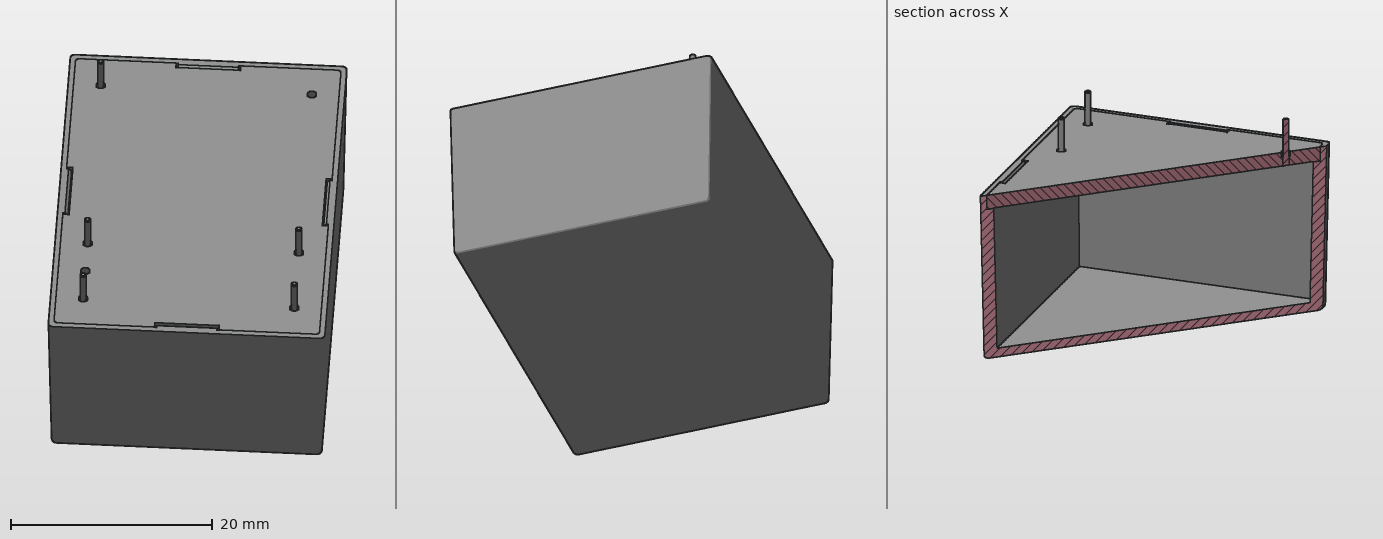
import cadquery as cq

LENGTH = 37.0
WIDTH = 27.5
HEIGHT = 17.5
TURN = -41.885
DRAFT = 1.0
CORNER_RADIUS = 0.5
BOTTOM_EDGE_RADIUS = 0.45
WALL = 0.55
FLOOR = 1.0
LID_LEDGE = 0.55

LID_THICKNESS = 1.5
LID_LENGTH = LENGTH - 2 * WALL
LID_WIDTH = WIDTH - 2 * WALL
LID_BOTTOM = HEIGHT - LID_THICKNESS
LID_CORNER_RADIUS = 0.4

LUG_LENGTH = 6.0
LUG_REACH = 0.5
LUG_TOP_REACH = 0.2
LUG_SLOPE_HEIGHT = 0.3
LUG_END_GAP = 0.2
NOTCH_LENGTH = LUG_LENGTH + 2 * LUG_END_GAP
NOTCH_DEPTH = 0.6

PIN_DIAMETER = 0.6
PIN_PROJECTION = 3.5
PIN_TIP_CHAMFER = 0.1
PIN_RECESS_DIAMETER = 0.9
PIN_RECESS_DEPTH = 0.5
VENT_DIAMETER = 0.9

ROW_Y = 10.5
END_X = 14.5
INNER_X = 7.0
PIN_POINTS = [
    (-END_X, -ROW_Y),
    (INNER_X, -ROW_Y),
    (END_X, -ROW_Y),
    (INNER_X, ROW_Y),
    (END_X, ROW_Y),
]
VENT_POINTS = [
    (-END_X, ROW_Y),
    ((INNER_X + END_X) / 2, -ROW_Y),
]

SIDES = [
    (0, LID_LENGTH / 2),
    (90, LID_WIDTH / 2),
    (180, LID_LENGTH / 2),
    (270, LID_WIDTH / 2),
]


def turned(body):
    return body.rotate((0, 0, 0), (0, 0, 1), TURN)


def lid_blank():
    """Lid without its notches and holes, which is also the shape of its seat in the case."""
    return (
        cq.Workplane("XY", origin=(0, 0, LID_BOTTOM))
        .rect(LID_LENGTH, LID_WIDTH)
        .extrude(LID_THICKNESS)
        .edges("|Z")
        .fillet(LID_CORNER_RADIUS)
    )


def lug(direction, edge_distance):
    """Rib on the inside of the wall with a sloping lead-in at its top."""
    section = [
        (edge_distance, LID_BOTTOM),
        (edge_distance, HEIGHT),
        (edge_distance - LUG_TOP_REACH, HEIGHT),
        (edge_distance - LUG_REACH, HEIGHT - LUG_SLOPE_HEIGHT),
        (edge_distance - LUG_REACH, LID_BOTTOM),
    ]
    wedge = cq.Workplane("XZ").polyline(section).close().extrude(LUG_LENGTH / 2, both=True)
    return wedge.rotate((0, 0, 0), (0, 0, 1), direction)


def notch(direction, edge_distance):
    """Block that cuts the lid edge clear of a lug."""
    block = (
        cq.Workplane("XY", origin=(edge_distance, 0, LID_BOTTOM))
        .rect(2 * NOTCH_DEPTH, NOTCH_LENGTH)
        .extrude(LID_THICKNESS)
    )
    return block.rotate((0, 0, 0), (0, 0, 1), direction)


def make_case():
    outside = (
        cq.Workplane("XY", origin=(0, 0, HEIGHT))
        .rect(LENGTH, WIDTH)
        .extrude(-HEIGHT, taper=DRAFT)
        .edges("not(|X or |Y)")
        .fillet(CORNER_RADIUS)
        .faces("<Z")
        .edges()
        .fillet(BOTTOM_EDGE_RADIUS)
    )
    cavity = (
        cq.Workplane("XY", origin=(0, 0, LID_BOTTOM))
        .rect(LID_LENGTH - 2 * LID_LEDGE, LID_WIDTH - 2 * LID_LEDGE)
        .extrude(FLOOR - LID_BOTTOM, taper=DRAFT)
    )
    case = outside.cut(lid_blank()).cut(cavity)
    for direction, edge_distance in SIDES:
        case = case.union(lug(direction, edge_distance))
    return turned(case)


def make_lid():
    lid = lid_blank()
    for direction, edge_distance in SIDES:
        lid = lid.cut(notch(direction, edge_distance))
    lid = (
        lid.faces(">Z")
        .workplane(origin=(0, 0, HEIGHT))
        .pushPoints(PIN_POINTS)
        .cboreHole(PIN_DIAMETER, PIN_RECESS_DIAMETER, PIN_RECESS_DEPTH)
        .faces(">Z")
        .workplane(origin=(0, 0, HEIGHT))
        .pushPoints(VENT_POINTS)
        .hole(VENT_DIAMETER)
    )
    return turned(lid)


def make_pin(x, y):
    pin = (
        cq.Workplane("XY", origin=(x, y, LID_BOTTOM))
        .circle(PIN_DIAMETER / 2)
        .extrude(LID_THICKNESS + PIN_PROJECTION)
        .faces(">Z")
        .chamfer(PIN_TIP_CHAMFER)
    )
    return turned(pin)


case = make_case()
lid = make_lid()
pins = [make_pin(x, y) for x, y in PIN_POINTS]

result = cq.Compound.makeCompound([case.val(), lid.val(), *[pin.val() for pin in pins]])